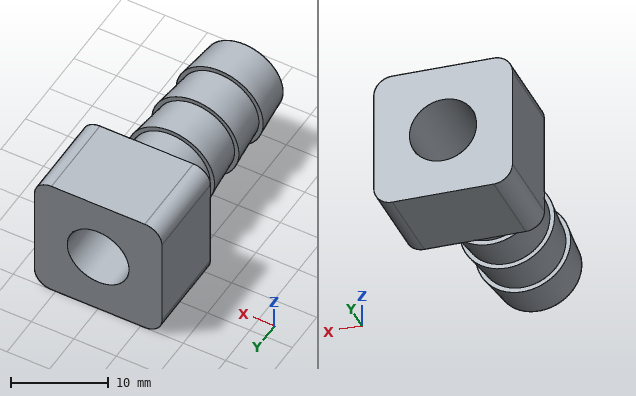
import cadquery as cq

total_length = 30.0
block_width = 15.0
block_length = total_length / 3
corner_radius = 2.0

barb_count = 4
barb_length = (total_length - block_length) / barb_count
barb_large_diameter = 10.25
barb_small_diameter = 9.25
bore_diameter = 7.25


def make_block():
    """Square block with rounded edges along Y, its front face at Y = 0."""
    return (
        cq.Workplane("XZ")
        .rect(block_width, block_width)
        .extrude(-block_length)
        .edges("|Y")
        .fillet(corner_radius)
    )


def make_hose_tail():
    """Stack of conical barbs, each narrowing away from the block toward -Y."""
    profile = cq.Workplane("XY").moveTo(0, 0)
    for index in range(barb_count):
        barb_start = -index * barb_length
        profile = profile.lineTo(barb_large_diameter / 2, barb_start)
        profile = profile.lineTo(barb_small_diameter / 2, barb_start - barb_length)
    profile = profile.lineTo(0, -barb_count * barb_length).close()
    return profile.revolve(360, (0, 0, 0), (0, 1, 0))


def make_bore():
    """Straight bore through the full length of the part."""
    return (
        cq.Workplane("XZ", origin=(0, block_length, 0))
        .circle(bore_diameter / 2)
        .extrude(total_length)
    )


result = make_block().union(make_hose_tail()).cut(make_bore())